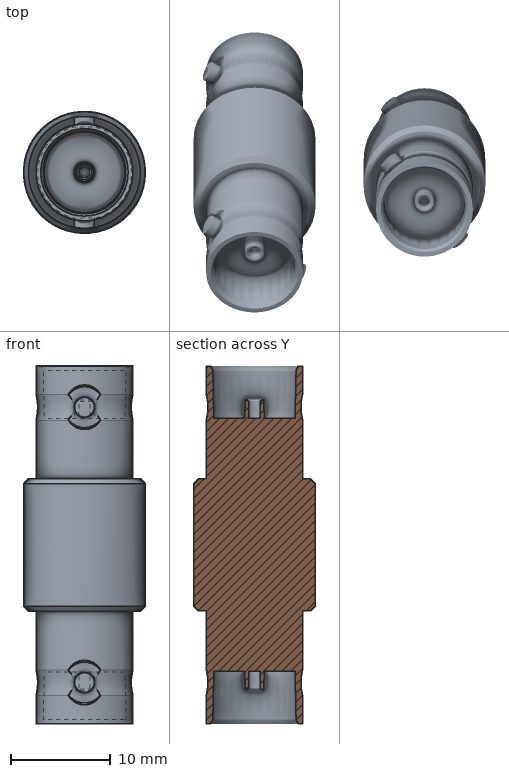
import cadquery as cq

total_length = 35.9
half_length = total_length / 2

body_radius = 6.1
body_length = 13.3
body_chamfer = 0.5

socket_radius = 4.85
rim_inner_radius = 4.38
bore_mouth_radius = 4.15
bore_floor_radius = 4.05
mouth_chamfer_depth = 0.45
bore_depth = 5.25

pin_level = half_length - 4.15
groove_half_width = 1.295
groove_depth = 0.16

pin_radius = 1.0
pin_tip_radius = 5.6
pin_root_radius = 4.3
flat_distance = 4.57
flat_radius = 2.05
flat_wall_radius = 2.23

contact_root_radius = 1.03
contact_tip_radius = 0.93
contact_tip_depth = 3.4
contact_height = bore_depth - contact_tip_depth
contact_hole_radius = 0.55
contact_mouth_radius = 0.76
contact_countersink_depth = 0.15


def ring_cone(bottom_radius, top_radius, bottom_z, top_z):
    """Tapered round solid on the Z axis between two heights."""
    outline = [(0, bottom_z), (bottom_radius, bottom_z), (top_radius, top_z), (0, top_z)]
    return cq.Workplane("XZ").polyline(outline).close().revolve(360, (0, 0, 0), (0, 1, 0))


def make_body():
    """Chamfered cylinder in the middle of the part."""
    return cq.Workplane("XY").cylinder(body_length, body_radius).edges().chamfer(body_chamfer)


def make_socket_shell():
    """Solid round socket from the part's middle to its top end, with the arc groove."""
    return (
        cq.Workplane("XZ")
        .lineTo(socket_radius, 0)
        .lineTo(socket_radius, pin_level - groove_half_width)
        .threePointArc(
            (socket_radius - groove_depth, pin_level),
            (socket_radius, pin_level + groove_half_width),
        )
        .lineTo(socket_radius, half_length)
        .lineTo(0, half_length)
        .close()
        .revolve(360, (0, 0, 0), (0, 1, 0))
    )


def make_bore():
    """Slightly tapered bore with a chamfered mouth."""
    mouth_z = half_length - mouth_chamfer_depth
    taper = ring_cone(bore_floor_radius, bore_mouth_radius, half_length - bore_depth, mouth_z)
    mouth = ring_cone(bore_mouth_radius, rim_inner_radius, mouth_z, half_length)
    return taper.union(mouth)


def make_contact():
    """Contact tube standing on the bore floor, with a countersunk hole as deep as the tube."""
    floor_z = half_length - bore_depth
    tip_z = floor_z + contact_height
    countersink_z = tip_z - contact_countersink_depth
    tube = ring_cone(contact_root_radius, contact_tip_radius, floor_z, tip_z)
    hole = ring_cone(contact_hole_radius, contact_hole_radius, floor_z, countersink_z)
    countersink = ring_cone(contact_hole_radius, contact_mouth_radius, countersink_z, tip_z)
    return tube.cut(hole).cut(countersink)


def make_flat_cutter():
    """Conical cutter leaving a round flat on the -Y side of the socket."""
    wall_slope = (flat_wall_radius - flat_radius) / (socket_radius - flat_distance)
    cutter_end_radius = flat_radius + wall_slope * (body_radius - flat_distance)
    outline = [
        (0, -flat_distance),
        (flat_radius, -flat_distance),
        (cutter_end_radius, -body_radius),
        (0, -body_radius),
    ]
    cutter = cq.Workplane("XY").polyline(outline).close().revolve(360, (0, 0, 0), (0, 1, 0))
    return cutter.translate((0, 0, pin_level))


def make_pins():
    """Pair of opposed radial pins whose ends are curved about the Z axis."""
    pin_bar = cq.Workplane("XZ").circle(pin_radius).extrude(body_radius, both=True)
    ring = cq.Workplane("XY").circle(pin_tip_radius).circle(pin_root_radius)
    ring = ring.extrude(body_radius, both=True)
    return pin_bar.intersect(ring).translate((0, 0, pin_level))


def make_socket():
    """Complete upper socket: grooved tube, flats, pins and centre contact."""
    flat_cutter = make_flat_cutter()
    socket = make_socket_shell().cut(flat_cutter).cut(flat_cutter.mirror("XZ"))
    socket = socket.union(make_pins()).cut(make_bore())
    return socket.union(make_contact())


upper_socket = make_socket()
result = make_body().union(upper_socket).union(upper_socket.mirror("XY"))